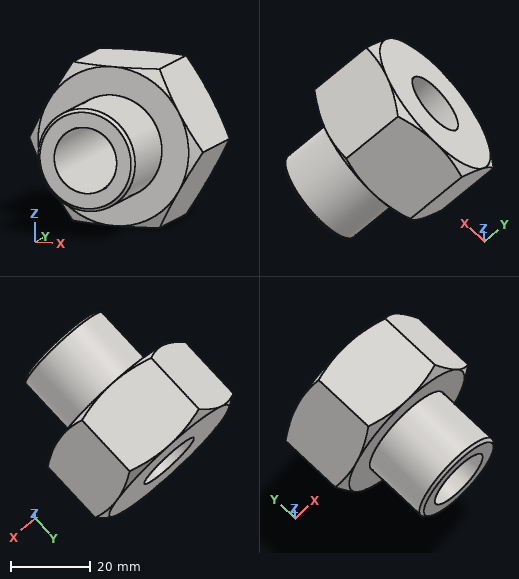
import cadquery as cq
import math

across_corners = 47.35
across_flats = across_corners * math.cos(math.radians(30))
total_length = 40.0
head_length = 21.45
head_chamfer_angle = 30.0

spigot_diameter = 26.4
spigot_chamfer = 0.8

bore_diameter = 17.0

spigot_length = total_length - head_length


def cylinder(diameter, length):
    """Cylinder along -Y, starting at Y = 0."""
    return cq.Workplane("XZ").circle(diameter / 2).extrude(length)


def make_head():
    """Hexagonal prism with conically chamfered corners at both ends."""
    prism = cq.Workplane("XZ").polygon(6, across_corners).extrude(head_length)
    corner_radius = across_corners / 2
    flat_radius = across_flats / 2
    chamfer_depth = (corner_radius - flat_radius) * math.tan(math.radians(head_chamfer_angle))
    envelope = (
        cq.Workplane("XY")
        .moveTo(0, 0)
        .lineTo(flat_radius, 0)
        .lineTo(corner_radius, -chamfer_depth)
        .lineTo(corner_radius, chamfer_depth - head_length)
        .lineTo(flat_radius, -head_length)
        .lineTo(0, -head_length)
        .close()
        .revolve(360, (0, 0, 0), (0, 1, 0))
    )
    return prism.intersect(envelope)


def make_spigot():
    """Round spigot with a chamfered free end."""
    spigot = cylinder(spigot_diameter, spigot_length).faces("<Y").chamfer(spigot_chamfer)
    return spigot.translate((0, -head_length, 0))


result = make_head().union(make_spigot()).cut(cylinder(bore_diameter, total_length))